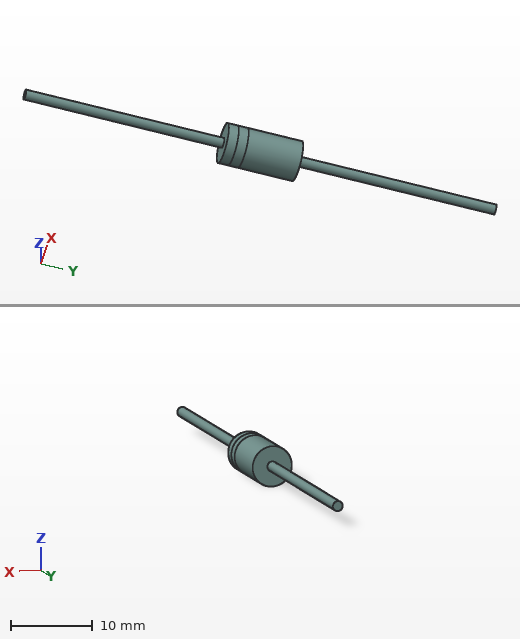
import cadquery as cq

OVERALL_LENGTH = 60.3
CASE_LENGTH = 9.55
CASE_RADIUS = 2.55
LEAD_DIAMETER = 1.25
LEAD_RADIUS = LEAD_DIAMETER / 2
BAND_WIDTH = 1.25
BAND_OFFSET = 1.25
BAND_THICKNESS = 0.25

CASE_END = CASE_LENGTH / 2
LEAD_LENGTH = (OVERALL_LENGTH - CASE_LENGTH) / 2
BAND_START = -CASE_END + BAND_OFFSET


def turned_ring(y_start, length, inner_radius, outer_radius):
    """Ring about the Y axis; an inner radius of zero gives a solid cylinder."""
    return (
        cq.Workplane("YZ")
        .moveTo(y_start, inner_radius)
        .lineTo(y_start, outer_radius)
        .lineTo(y_start + length, outer_radius)
        .lineTo(y_start + length, inner_radius)
        .close()
        .revolve(360, (0, 0, 0), (1, 0, 0))
    )


def make_band():
    """Polarity band, flush with the surface of the case."""
    return turned_ring(BAND_START, BAND_WIDTH, CASE_RADIUS - BAND_THICKNESS, CASE_RADIUS)


def make_case(band):
    """Cylindrical case with a groove that the polarity band fills."""
    return turned_ring(-CASE_END, CASE_LENGTH, 0, CASE_RADIUS).cut(band)


def make_lead(y_start):
    """Straight round wire that butts against one end of the case."""
    return turned_ring(y_start, LEAD_LENGTH, 0, LEAD_RADIUS)


band = make_band()
case = make_case(band)
leads = [make_lead(y_start) for y_start in (-OVERALL_LENGTH / 2, CASE_END)]

result = cq.Compound.makeCompound([case.val(), band.val(), *[lead.val() for lead in leads]])